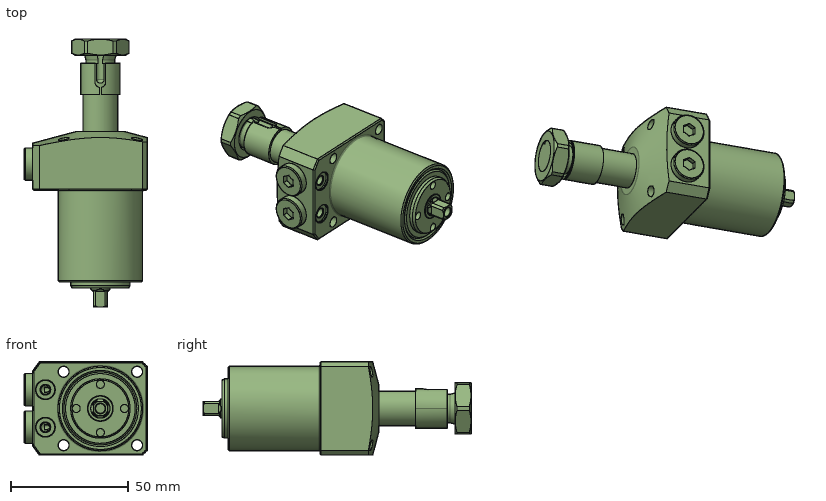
import cadquery as cq
import math


NUT_BACK_Y = 57.2
NUT_THICKNESS = 7.0
BLOCK_BACK_Y = 17.7
BLOCK_FRONT_Y = -7.4
BARREL_END_Y = -46.6
BOSS_END_Y = -49.2
SHAFT_END_Y = -57.2

BLOCK_LEFT_X = -29.0
BLOCK_RIGHT_X = 20.0
BLOCK_HEIGHT = 40.0
LEFT_CORNER_X = 3.0
LEFT_CORNER_Z = 4.0
RIGHT_CORNER = 2.1
FRONT_CHAMFER = 0.6
BACK_FLAT_RADIUS = 10.3
BACK_SLOPE_DEGREES = 15.0
BOLT_HOLE_RADIUS = 2.3
BOLT_HOLE_OFFSET = 15.7

BARREL_RADIUS = 18.1
BARREL_FILLET = 0.3
BARREL_CHAMFER = 0.6

PORT_X = -23.5
PORT_Z = 8.0
PORT_RADIUS = 2.0
PORT_DEPTH = 10.0
DRILL_POINT_DEGREES = 118.0
CHANNEL_RADIUS = 1.3
CHANNEL_START = 0.5
CHANNEL_LENGTH = 6.9
PORT_RIM_CHAMFER = 0.3
PORT_SEAT_RADIUS = 4.0
PORT_SEAT_DEPTH = 0.9
PORT_SEAT_CHAMFER = 0.2
PLUG_Y = 3.8
PLUG_RADIUS = 7.0
PLUG_HEIGHT = 3.5
PLUG_CHAMFER = 0.5
PLUG_SOCKET_FLATS = 5.2
PLUG_SOCKET_DEPTH = 2.3

CAP_RADIUS = 15.6
CAP_DEPTH = 9.2
SEAM_CHAMFER = 0.7
BOSS_RADIUS = 12.7
BOSS_CHAMFER = 0.6
BOSS_CHAMFER_LENGTH = 1.1
CAP_HOLE_COUNT = 4
CAP_HOLE_RADIUS = 1.7
CAP_HOLE_CIRCLE = 10.3
CAP_HOLE_DEPTH = 3.4

JOURNAL_RADIUS = 5.5
JOURNAL_CHAMFER = 0.2
COLLAR_RADIUS = 4.1
COLLAR_LENGTH = 0.7
SQUARE_FLATS = 6.1
SQUARE_CORNER_RADIUS = 3.7
SQUARE_SETBACK = 0.8
FLAT_RUN_OUT = 1.1
SHAFT_END_CHAMFER = 0.5
SHAFT_HOLE_RADIUS = 2.1
SHAFT_HOLE_CHAMFER = 0.2
SHAFT_HOLE_DEPTH = 4.6

ROD_RADIUS = 7.4
ROD_SHOULDER_Y = 46.7
NECK_RADIUS = 6.2
NECK_END_Y = 48.2
STUD_RADIUS = 6.8
GROOVE_RADIUS = 1.6
GROOVE_END_Y = 40.0

SLEEVE_RADIUS = 8.5
SLEEVE_FRONT_Y = 33.4
SLEEVE_BACK_Y = 47.1
SLEEVE_CHAMFER = 0.2
SLOT_WIDTH = 4.6
SLOT_CENTRE_Y = 38.8
SLIT_WIDTH = 0.9

NUT_FLATS = 22.0
NUT_CORNER_RADIUS = 12.3
NUT_COUNTERSINK_RADIUS = 7.5
NUT_FACE_RADIUS = 10.8
NUT_CHAMFER_DEGREES = 30.0

nut_front_y = NUT_BACK_Y - NUT_THICKNESS
cap_back_y = BARREL_END_Y + CAP_DEPTH
port_heights = (-PORT_Z, PORT_Z)


def turned(profile):
    """Solid of revolution about the Y axis from (radius, y) points."""
    return cq.Workplane("XY").polyline(profile).close().revolve(360, (0, 0, 0), (0, 1, 0))


def disc(radius, y_start, y_end):
    """Cylinder on the Y axis between two stations."""
    return turned([(0, y_start), (radius, y_start), (radius, y_end), (0, y_end)])


def facing_front(y):
    """Plane at station y whose normal points to -Y and whose axes are X and Z."""
    return cq.Workplane("XZ", origin=(0, y, 0))


def make_block():
    """Block with cut corners, a chamfered front edge and a shallow conical back."""
    half = BLOCK_HEIGHT / 2
    left, right = BLOCK_LEFT_X, BLOCK_RIGHT_X
    upper = [
        (left, half - LEFT_CORNER_Z),
        (left + LEFT_CORNER_X, half),
        (right - RIGHT_CORNER, half),
        (right, half - RIGHT_CORNER),
    ]
    lower = [(x, -z) for x, z in reversed(upper)]
    block = (
        facing_front(BLOCK_BACK_Y)
        .polyline(upper + lower)
        .close()
        .extrude(BLOCK_BACK_Y - BLOCK_FRONT_Y)
        .faces("<Y")
        .chamfer(FRONT_CHAMFER)
    )
    reach = 2 * BLOCK_HEIGHT
    slope_y = BLOCK_BACK_Y - (reach - BACK_FLAT_RADIUS) * math.tan(math.radians(BACK_SLOPE_DEGREES))
    cone = turned([
        (0, BLOCK_FRONT_Y),
        (reach, BLOCK_FRONT_Y),
        (reach, slope_y),
        (BACK_FLAT_RADIUS, BLOCK_BACK_Y),
        (0, BLOCK_BACK_Y),
    ])
    return block.intersect(cone)


def make_barrel():
    """Barrel with a fillet at the block and chamfers on both edges of its open end."""
    r, f, c = BARREL_RADIUS, BARREL_FILLET, BARREL_CHAMFER
    barrel = (
        cq.Workplane("XY")
        .moveTo(0, BLOCK_FRONT_Y)
        .lineTo(r + f, BLOCK_FRONT_Y)
        .radiusArc((r, BLOCK_FRONT_Y - f), -f)
        .lineTo(r, BARREL_END_Y + c)
        .lineTo(r - c, BARREL_END_Y)
        .lineTo(0, BARREL_END_Y)
        .close()
        .revolve(360, (0, 0, 0), (0, 1, 0))
    )
    cap_recess = disc(CAP_RADIUS, BARREL_END_Y, cap_back_y)
    seam = turned([
        (0, BARREL_END_Y),
        (CAP_RADIUS + SEAM_CHAMFER, BARREL_END_Y),
        (CAP_RADIUS, BARREL_END_Y + SEAM_CHAMFER),
        (0, BARREL_END_Y + SEAM_CHAMFER),
    ])
    return barrel.cut(cap_recess).cut(seam)


def make_port(z):
    """Drilled port in the block front with a seal seat, and the channel that leaves it along X."""
    tip = PORT_RADIUS / math.tan(math.radians(DRILL_POINT_DEGREES / 2))
    seat_y = BLOCK_FRONT_Y + PORT_SEAT_DEPTH
    bottom_y = BLOCK_FRONT_Y + PORT_DEPTH
    port = turned([
        (0, BLOCK_FRONT_Y),
        (PORT_SEAT_RADIUS + PORT_SEAT_CHAMFER, BLOCK_FRONT_Y),
        (PORT_SEAT_RADIUS, BLOCK_FRONT_Y + PORT_SEAT_CHAMFER),
        (PORT_SEAT_RADIUS, seat_y),
        (PORT_RADIUS + PORT_RIM_CHAMFER, seat_y),
        (PORT_RADIUS, seat_y + PORT_RIM_CHAMFER),
        (PORT_RADIUS, bottom_y),
        (0, bottom_y + tip),
    ]).translate((PORT_X, 0, z))
    channel = (
        cq.Workplane("YZ", origin=(PORT_X - CHANNEL_START, PLUG_Y, z))
        .circle(CHANNEL_RADIUS)
        .extrude(CHANNEL_LENGTH)
    )
    return port.union(channel)


def make_housing():
    """Block and barrel in one piece, with its bolt holes, ports and rod bore."""
    housing = make_block().union(make_barrel())
    offsets = (-BOLT_HOLE_OFFSET, BOLT_HOLE_OFFSET)
    bolt_holes = (
        facing_front(BLOCK_BACK_Y)
        .pushPoints([(x, z) for x in offsets for z in offsets])
        .circle(BOLT_HOLE_RADIUS)
        .extrude(BLOCK_BACK_Y - BLOCK_FRONT_Y)
    )
    housing = housing.cut(bolt_holes)
    for z in port_heights:
        housing = housing.cut(make_port(z))
    rod_bore = disc(ROD_RADIUS, cap_back_y, BLOCK_BACK_Y)
    return housing.cut(rod_bore)


def make_plug(z):
    """Round plug lying against the block side, with a hexagon socket in its outer face."""
    plug = (
        cq.Workplane("YZ", origin=(BLOCK_LEFT_X, PLUG_Y, z))
        .circle(PLUG_RADIUS)
        .extrude(-PLUG_HEIGHT)
        .faces("<X")
        .chamfer(PLUG_CHAMFER)
    )
    socket = (
        cq.Workplane("YZ", origin=(BLOCK_LEFT_X - PLUG_HEIGHT, PLUG_Y, z))
        .transformed(rotate=(0, 0, 90))
        .polygon(6, PLUG_SOCKET_FLATS / math.cos(math.pi / 6))
        .extrude(PLUG_SOCKET_DEPTH)
    )
    return plug.cut(socket)


def make_cap():
    """Cap sunk flush into the barrel, with a boss that stands out around the shaft."""
    cap = turned([
        (JOURNAL_RADIUS, cap_back_y),
        (CAP_RADIUS, cap_back_y),
        (CAP_RADIUS, BARREL_END_Y + SEAM_CHAMFER),
        (CAP_RADIUS - SEAM_CHAMFER, BARREL_END_Y),
        (BOSS_RADIUS, BARREL_END_Y),
        (BOSS_RADIUS, BOSS_END_Y + BOSS_CHAMFER_LENGTH),
        (BOSS_RADIUS - BOSS_CHAMFER, BOSS_END_Y),
        (JOURNAL_RADIUS, BOSS_END_Y),
    ])
    spanner_holes = (
        facing_front(BOSS_END_Y)
        .polarArray(CAP_HOLE_CIRCLE, 0, 360, CAP_HOLE_COUNT)
        .circle(CAP_HOLE_RADIUS)
        .extrude(-CAP_HOLE_DEPTH)
    )
    return cap.cut(spanner_holes)


def make_shaft():
    """Shaft whose journal fills the cap bore and whose square end stands out in front."""
    square_r = SQUARE_CORNER_RADIUS
    collar_end_y = BOSS_END_Y - COLLAR_LENGTH
    square_start_y = collar_end_y - SQUARE_SETBACK
    body = turned([
        (0, cap_back_y),
        (JOURNAL_RADIUS, cap_back_y),
        (JOURNAL_RADIUS, BOSS_END_Y + JOURNAL_CHAMFER),
        (JOURNAL_RADIUS - JOURNAL_CHAMFER, BOSS_END_Y),
        (COLLAR_RADIUS, BOSS_END_Y),
        (COLLAR_RADIUS, collar_end_y),
        (square_r, collar_end_y - (COLLAR_RADIUS - square_r)),
        (square_r, SHAFT_END_Y + SHAFT_END_CHAMFER),
        (square_r - SHAFT_END_CHAMFER, SHAFT_END_Y),
        (0, SHAFT_END_Y),
    ])
    core = facing_front(square_start_y).rect(SQUARE_FLATS, SQUARE_FLATS).extrude(square_start_y - SHAFT_END_Y)
    run_out = (
        facing_front(square_start_y)
        .rect(SQUARE_FLATS, SQUARE_FLATS)
        .extrude(-FLAT_RUN_OUT, taper=-45)
    )
    around_square = (
        facing_front(square_start_y + FLAT_RUN_OUT)
        .circle(2 * square_r)
        .extrude(square_start_y + FLAT_RUN_OUT - SHAFT_END_Y)
        .cut(core)
        .cut(run_out)
    )
    rim = turned([
        (0, SHAFT_END_Y),
        (SHAFT_HOLE_RADIUS + SHAFT_HOLE_CHAMFER, SHAFT_END_Y),
        (SHAFT_HOLE_RADIUS, SHAFT_END_Y + SHAFT_HOLE_CHAMFER),
        (0, SHAFT_END_Y + SHAFT_HOLE_CHAMFER),
    ])
    end_hole = facing_front(SHAFT_END_Y).circle(SHAFT_HOLE_RADIUS).extrude(-SHAFT_HOLE_DEPTH)
    end_hole = end_hole.union(rim)
    return body.cut(around_square).cut(end_hole)


def make_rod():
    """Rod with a necked end, a stud that widens towards the nut and a ball-ended groove on top."""
    rod = turned([
        (0, cap_back_y),
        (ROD_RADIUS, cap_back_y),
        (ROD_RADIUS, ROD_SHOULDER_Y),
        (NECK_RADIUS, ROD_SHOULDER_Y),
        (NECK_RADIUS, NECK_END_Y),
        (STUD_RADIUS, nut_front_y),
        (STUD_RADIUS, NUT_BACK_Y),
        (0, NUT_BACK_Y),
    ])
    groove = disc(GROOVE_RADIUS, GROOVE_END_Y, NUT_BACK_Y)
    groove = groove.union(cq.Workplane("XY").sphere(GROOVE_RADIUS).translate((0, GROOVE_END_Y, 0)))
    return rod.cut(groove.translate((0, 0, ROD_RADIUS)))


def make_sleeve():
    """Sleeve around the rod, opened on top by a round-ended slot and a narrow slit."""
    sleeve = turned([
        (ROD_RADIUS, SLEEVE_FRONT_Y),
        (SLEEVE_RADIUS, SLEEVE_FRONT_Y),
        (SLEEVE_RADIUS, SLEEVE_BACK_Y - SLEEVE_CHAMFER),
        (SLEEVE_RADIUS - SLEEVE_CHAMFER, SLEEVE_BACK_Y),
        (ROD_RADIUS, SLEEVE_BACK_Y),
    ])
    half = SLOT_WIDTH / 2
    slot = (
        cq.Workplane("XY")
        .moveTo(half, SLEEVE_BACK_Y)
        .lineTo(half, SLOT_CENTRE_Y)
        .threePointArc((0, SLOT_CENTRE_Y - half), (-half, SLOT_CENTRE_Y))
        .lineTo(-half, SLEEVE_BACK_Y)
        .close()
        .extrude(SLEEVE_RADIUS)
    )
    slit_length = SLOT_CENTRE_Y - SLEEVE_FRONT_Y
    slit = (
        cq.Workplane("XY", origin=(0, SLEEVE_FRONT_Y + slit_length / 2, 0))
        .rect(SLIT_WIDTH, slit_length)
        .extrude(SLEEVE_RADIUS)
    )
    return sleeve.cut(slot).cut(slit)


def make_nut():
    """Hexagon nut with flats up and down, turned corners and chamfers on both faces."""
    corner_diameter = NUT_FLATS / math.cos(math.pi / 6)
    hexagon = (
        facing_front(NUT_BACK_Y)
        .polygon(6, corner_diameter)
        .extrude(NUT_THICKNESS)
    )
    drop = (NUT_CORNER_RADIUS - NUT_FACE_RADIUS) * math.tan(math.radians(NUT_CHAMFER_DEGREES))
    blank = turned([
        (STUD_RADIUS, nut_front_y + NUT_COUNTERSINK_RADIUS - STUD_RADIUS),
        (NUT_COUNTERSINK_RADIUS, nut_front_y),
        (NUT_FACE_RADIUS, nut_front_y),
        (NUT_CORNER_RADIUS, nut_front_y + drop),
        (NUT_CORNER_RADIUS, NUT_BACK_Y - drop),
        (NUT_FACE_RADIUS, NUT_BACK_Y),
        (STUD_RADIUS, NUT_BACK_Y),
    ])
    return hexagon.intersect(blank)


housing = make_housing()
plugs = [make_plug(z) for z in port_heights]
cap = make_cap()
shaft = make_shaft()
rod = make_rod()
sleeve = make_sleeve()
nut = make_nut()

result = cq.Compound.makeCompound([
    housing.val(),
    *[plug.val() for plug in plugs],
    cap.val(),
    shaft.val(),
    rod.val(),
    sleeve.val(),
    nut.val(),
])